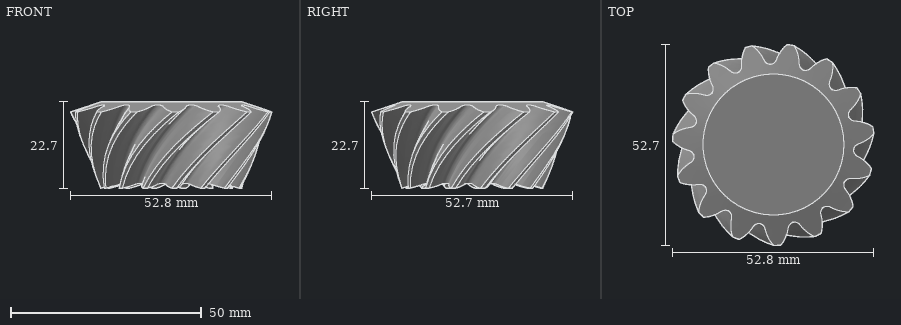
import cadquery as cq
import math

teeth = 15
height = 22.7
hub_radius = 18.5
tip_radius = 26.5
back_drop = 2.7
end_ratio = 0.7
spiral_angle = 48.0
tooth_direction = 8.2
spiral_bow = 1.2
section_count = 9
overrun = 0.8
clear_radius = 31.7

flank = [(tip_radius, 1.9), (25.35, 4.1), (24.1, 5.9), (22.7, 7.4), (21.75, 8.5), (21.2, 10.4)]

pitch_angle = 360.0 / teeth
tip_z = height - back_drop
apex_z = -tip_z * end_ratio / (1 - end_ratio)
back_slope = back_drop / (tip_radius - hub_radius)


def spiral_turn(scale):
    """Turn of the tooth, in degrees, where it has shrunk to the given scale."""
    travel = (1 - scale) / (1 - end_ratio)
    return -spiral_angle * travel - 4 * spiral_bow * travel * (1 - travel)


def section_point(radius, angle, z):
    """Carry a back-cone point along the spiral cone to the plane at height z."""
    back_z = height - back_slope * (radius - hub_radius)
    scale = (z - apex_z) / (back_z - apex_z)
    turned = math.radians(angle + spiral_turn(scale))
    return (scale * radius * math.cos(turned), scale * radius * math.sin(turned))


def tooth_section(z):
    """Closed outline of all teeth at height z."""
    outline = cq.Workplane("XY").workplane(offset=z)
    outline = outline.moveTo(*section_point(flank[0][0], tooth_direction - flank[0][1], z))
    for tooth in range(teeth):
        center = tooth_direction + tooth * pitch_angle
        falling = [section_point(r, center + half, z) for r, half in flank]
        next_center = center + pitch_angle
        rising = [section_point(r, next_center - half, z) for r, half in reversed(flank)]
        outline = outline.lineTo(*falling[0]).spline(falling[1:] + rising, includeCurrent=True)
    return outline.wire().val()


def toothed_body():
    """Spiral teeth, longer than the gear at both ends."""
    step = (height + 2 * overrun) / (section_count - 1)
    sections = [tooth_section(-overrun + i * step) for i in range(section_count)]
    return cq.Workplane(cq.Solid.makeLoft(sections))


def end_blank():
    """Body between the raised back cone and the parallel hollow front cone."""
    front_hub = hub_radius * end_ratio
    front_tip = tip_radius * end_ratio
    recess_z = back_slope * (front_tip - front_hub)
    return (
        cq.Workplane("XZ")
        .moveTo(0, recess_z)
        .lineTo(front_hub, recess_z)
        .lineTo(clear_radius, recess_z - back_slope * (clear_radius - front_hub))
        .lineTo(clear_radius, height - back_slope * (clear_radius - hub_radius))
        .lineTo(hub_radius, height)
        .lineTo(0, height)
        .close()
        .revolve(360, (0, 0, 0), (0, 1, 0))
    )


result = toothed_body().intersect(end_blank())